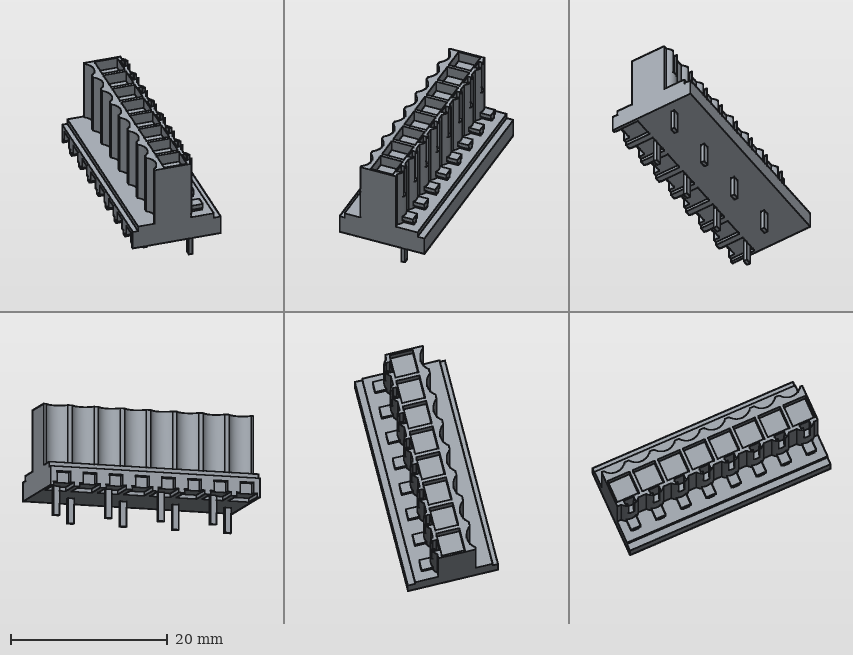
import cadquery as cq


length = 28.0
positions = 8
pitch = length / positions
position_centres = [(i - (positions - 1) / 2) * pitch for i in range(positions)]

base_depth = 11.85
flange_height = 2.45
base_height = 3.15
front_step = 0.7
rear_step = 0.95

top_height = 11.1
tower_front = 2.9
tower_rear = 7.85

flute_width = 2.9
flute_depth = 0.75
rib_width = 2.4
rib_height = 0.6

pocket_size = 3.05
pocket_front = 4.28
pocket_depth = 1.43

slot_front = 7.5
slot_neck = 8.05
slot_floor = 7.15
tee_width = 1.37
neck_width = 0.85
key_rear = 9.77
key_neck_top = 3.55
key_top = 4.15

window_width = 1.8
window_depth = 0.85
window_top = 1.88
notch_width = 2.72
notch_height = 0.5

pin_width = 0.8
pin_thickness = 0.5
pin_drop = 3.22
front_row = 3.33
rear_row = 8.25
notch_depth = front_row + pin_thickness / 2


def block(x_centre, width, y_min, y_max, z_min, z_max):
    """Rectangular block centred on x_centre, between the given Y and Z limits."""
    corner = (x_centre - width / 2, y_min, z_min)
    return cq.Workplane("XY").box(width, y_max - y_min, z_max - z_min, centered=False).translate(corner)


def arc_column(x_centre, chord_y, width, rise):
    """Column on the base up to the tower top, bounded by a chord and an arc rising to +Y."""
    return (
        cq.Workplane("XY", origin=(x_centre, chord_y, base_height))
        .moveTo(-width / 2, 0)
        .threePointArc((0, rise), (width / 2, 0))
        .close()
        .extrude(top_height - base_height)
    )


def make_shell():
    """Base with a step along front and rear, and the plain tower."""
    flange = block(0, length, 0, base_depth, 0, flange_height)
    step = block(0, length, front_step, base_depth - rear_step, flange_height, base_height)
    tower = block(0, length, tower_front, tower_rear, base_height, top_height)
    return flange.union(step).union(tower)


def make_coding_key(x):
    """T-section key on the base: narrow neck below, wide head above, running into the rib."""
    neck = block(x, neck_width, tower_rear, key_rear, base_height, key_neck_top)
    head = block(x, tee_width, tower_rear, key_rear, key_neck_top, key_top)
    return neck.union(head)


def make_coding_slot(x):
    """T-shaped slot: wide inside the tower, with a narrow mouth through the rib."""
    wide = block(x, tee_width, slot_front, slot_neck, slot_floor, top_height)
    mouth = block(x, neck_width, slot_neck, tower_rear + rib_height, slot_floor, top_height)
    return wide.union(mouth)


def make_pin(x, y):
    """Solder pin, from its tip up to the level of the notch ceiling."""
    return block(x, pin_width, y - pin_thickness / 2, y + pin_thickness / 2, -pin_drop, notch_height)


def make_housing(pins):
    """Complete housing, with sockets for the given pins."""
    housing = make_shell()
    for x in position_centres:
        flute = arc_column(x, tower_front, flute_width, flute_depth)
        rib = arc_column(x, tower_rear, rib_width, rib_height)
        pocket = block(
            x, pocket_size, pocket_front, pocket_front + pocket_size, top_height - pocket_depth, top_height
        )
        window = block(x, window_width, 0, window_depth, 0, window_top)
        notch = block(x, notch_width, 0, notch_depth, 0, notch_height)
        housing = housing.union(rib).union(make_coding_key(x))
        housing = housing.cut(flute).cut(pocket).cut(make_coding_slot(x))
        housing = housing.cut(window).cut(notch)
    for pin in pins:
        housing = housing.cut(pin)
    return housing


pins = []
for i, x in enumerate(position_centres):
    row = front_row if i % 2 == 0 else rear_row
    pins.append(make_pin(x, row))

housing = make_housing(pins).solids()

result = cq.Compound.makeCompound([housing.val(), *[pin.val() for pin in pins]])